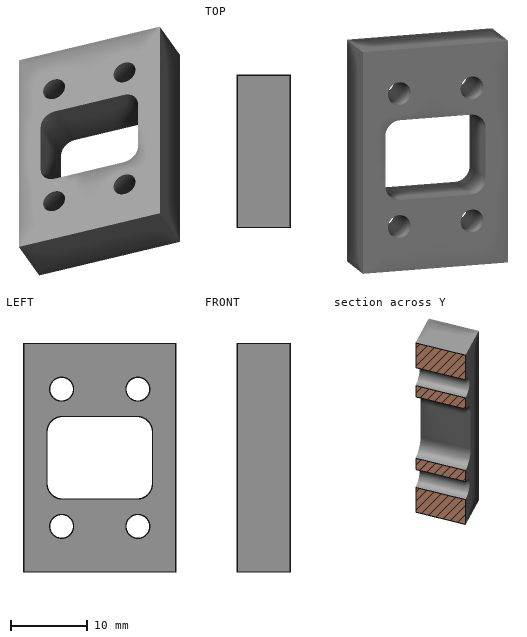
import cadquery as cq

thickness = 7.0
width = 20.0
height = 30.0

window_width = 13.8
window_height = 10.8
window_corner_radius = 2.0

hole_diameter = 3.1
hole_spacing_y = 10.0
hole_spacing_z = 18.0


def make_plate():
    """Rectangular plate centred on the origin."""
    return cq.Workplane("XY").box(thickness, width, height)


def make_window():
    """Rounded rectangular cutter passing through the full thickness."""
    return (
        cq.Workplane("XY")
        .box(thickness, window_width, window_height)
        .edges("|X")
        .fillet(window_corner_radius)
    )


def drill_holes(body):
    """Drill the four through holes along X."""
    return (
        body.faces("<X")
        .workplane(centerOption="CenterOfBoundBox")
        .rarray(hole_spacing_y, hole_spacing_z, 2, 2)
        .hole(hole_diameter)
    )


result = drill_holes(make_plate()).cut(make_window())